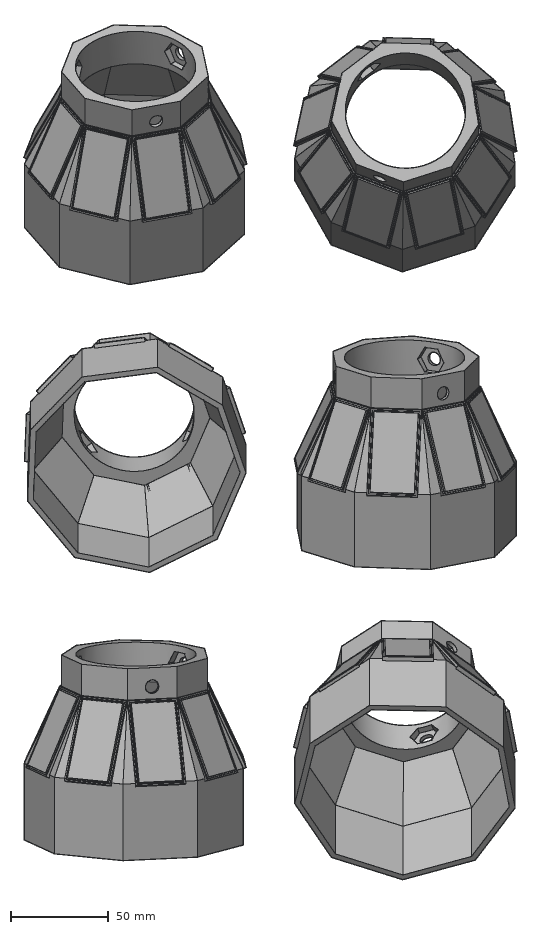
import cadquery as cq
import math

OVERALL_WIDTH = 114.3
OVERALL_DEPTH = 112.5
TOP_Z = 96.4

SIDES = 9
BODY_RADIUS = 57.3
NECK_RADIUS = 38.2
SHOULDER_Z = 40.0
NECK_Z = 80.0

CAVITY_RADIUS = 54.2
CAVITY_TOP_RADIUS = 38.7
CAVITY_SHOULDER_Z = 41.6
CAVITY_TOP_Z = 75.9
BORE_DIAMETER = 61.5

HOLE_ANGLES = (110, 230, 350)
HOLE_DIAMETER = 7.0
HOLE_Z = 86.4
HOLE_WALL = 2.1
NUT_WIDTH = 13.0

FRAME_TILT = 24.8
FRAME_WIDTH = 26.1
FRAME_LENGTH = 44.9
FRAME_DEPTH = 3.4
FRAME_RIM = 0.8
FRAME_FOOT_Z = 39.2
POCKET_DEPTH = 1.1

PANEL_GAP = 0.8
PANEL_PROUD = 0.3

SIDE_STEP = 360 / SIDES
CORNER_ANGLES = [90 + i * SIDE_STEP for i in range(SIDES)]
FRONT_ANGLE = 270
FACE_ANGLES = [FRONT_ANGLE + i * SIDE_STEP for i in range(SIDES)]

NECK_APOTHEM = NECK_RADIUS * math.cos(math.pi / SIDES)

SIDE_LEAN = math.radians(SIDE_STEP / 4)
FRONT_FOOT = OVERALL_DEPTH - BODY_RADIUS
OTHER_FOOT = (OVERALL_WIDTH - FRAME_WIDTH * math.sin(SIDE_LEAN)) / 2 / math.cos(SIDE_LEAN)


def outward(angle):
    """Horizontal unit vector pointing away from the axis."""
    a = math.radians(angle)
    return cq.Vector(math.cos(a), math.sin(a), 0)


def across(angle):
    """Horizontal unit vector along the side that faces the given angle."""
    return outward(angle + 90)


def nonagon(radius, z):
    """Nine-sided wire at one level."""
    corners = [outward(angle) * radius + cq.Vector(0, 0, z) for angle in CORNER_ANGLES]
    return cq.Wire.makePolygon(corners, close=True)


def nine_sided(low_radius, low_z, high_radius, high_z):
    """Nine-sided prism or frustum between two levels."""
    wires = [nonagon(low_radius, low_z), nonagon(high_radius, high_z)]
    return cq.Workplane(cq.Solid.makeLoft(wires, True))


def frame_plane(angle):
    """Plane on the front of a frame, starting mid foot: x across, y up the slope."""
    foot = FRONT_FOOT if angle == FRONT_ANGLE else OTHER_FOOT
    tilt = math.radians(FRAME_TILT)
    origin = outward(angle) * foot + cq.Vector(0, 0, FRAME_FOOT_Z)
    normal = outward(angle) * math.cos(tilt) + cq.Vector(0, 0, math.sin(tilt))
    return cq.Plane(origin=origin, xDir=across(angle), normal=normal)


def slab(angle, inset, back, front):
    """Block inset from the frame edges, between two heights off the front of the frame."""
    return (
        cq.Workplane(frame_plane(angle))
        .workplane(offset=back)
        .center(0, FRAME_LENGTH / 2)
        .rect(FRAME_WIDTH - 2 * inset, FRAME_LENGTH - 2 * inset)
        .extrude(front - back)
    )


def make_frame(angle):
    return slab(angle, 0, -FRAME_DEPTH, 0)


def make_panel_pocket(angle):
    """Cutter for the pocket in a frame, clearing everything in front of it."""
    return slab(angle, FRAME_RIM, -POCKET_DEPTH, PANEL_PROUD)


def make_panel(angle):
    return slab(angle, FRAME_RIM + PANEL_GAP, -POCKET_DEPTH, PANEL_PROUD)


def make_cavity():
    """Cutter for the hollow inside and the bore through the neck."""
    straight = nine_sided(CAVITY_RADIUS, 0, CAVITY_RADIUS, CAVITY_SHOULDER_Z)
    cone = nine_sided(CAVITY_RADIUS, CAVITY_SHOULDER_Z, CAVITY_TOP_RADIUS, CAVITY_TOP_Z)
    bore = cq.Workplane("XY").circle(BORE_DIAMETER / 2).extrude(TOP_Z)
    return straight.union(cone).union(bore)


def make_screw_hole(angle):
    """Cutter for one radial hole and its nut pocket."""
    centre = cq.Vector(0, 0, HOLE_Z)
    plane = cq.Plane(origin=centre, xDir=across(angle), normal=outward(angle))
    hole = cq.Workplane(plane).circle(HOLE_DIAMETER / 2).extrude(NECK_RADIUS)
    nut_corners = NUT_WIDTH / math.cos(math.pi / 6)
    nut = cq.Workplane(plane).polygon(6, nut_corners).extrude(NECK_APOTHEM - HOLE_WALL)
    return hole.union(nut)


def make_housing():
    body = nine_sided(BODY_RADIUS, 0, BODY_RADIUS, SHOULDER_Z)
    cone = nine_sided(BODY_RADIUS, SHOULDER_Z, NECK_RADIUS, NECK_Z)
    neck = nine_sided(NECK_RADIUS, NECK_Z, NECK_RADIUS, TOP_Z)
    shell = body.union(cone).union(neck)
    for angle in FACE_ANGLES:
        shell = shell.union(make_frame(angle))
    for angle in FACE_ANGLES:
        shell = shell.cut(make_panel_pocket(angle))
    shell = shell.cut(make_cavity())
    for angle in HOLE_ANGLES:
        shell = shell.cut(make_screw_hole(angle))
    return shell


housing = make_housing()
panels = [make_panel(angle) for angle in FACE_ANGLES]

result = cq.Compound.makeCompound([housing.val(), *[panel.val() for panel in panels]])